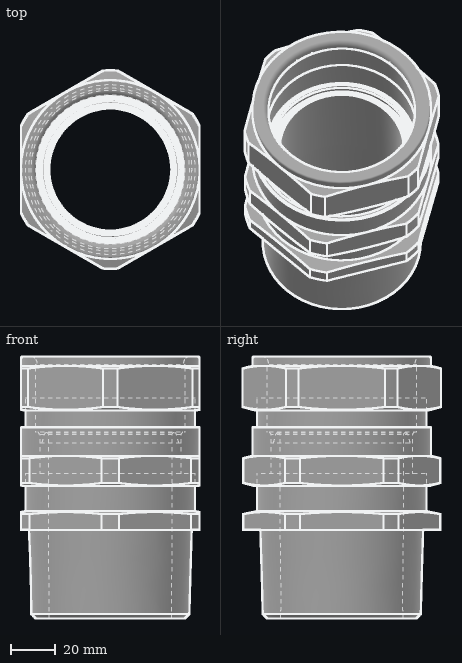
import cadquery as cq
import math


TOTAL_HEIGHT = 117.4
ACROSS_FLATS = 80.0
CAP_CORNER_RADIUS = 44.5
FITTING_CORNER_RADIUS = 44.1
COLLAR_RADIUS = ACROSS_FLATS / 2
NECK_RADIUS = 38.0
CHAMFER_SLOPE = math.tan(math.radians(15))
UNDERSIDE_RADIUS = 38.7

CAP_HEX_BOTTOM = 93.2
CAP_HEX_TOP = 113.1
CAP_RIM_FILLET = 0.9
BORE_RADIUS = 33.5
THROAT_RADIUS = 32.9
THROAT_LENGTH = 0.6
BORE_MOUTH_FILLET = 2.9

ENGAGEMENT = 5.6

MIDDLE_BOTTOM = 59.3
MIDDLE_HEX_TOP = 72.9
BAND_TOP = 85.8
BAND_CHAMFER = 0.4
MIDDLE_TOP = CAP_HEX_BOTTOM + ENGAGEMENT
LEDGE_Z = 83.4
LEDGE_INNER_RADIUS = 32.4
LEDGE_CHAMFER_HEIGHT = 1.0
SLEEVE_RADIUS = 31.6

THREAD_TOP_RADIUS = 36.5
THREAD_BOTTOM_RADIUS = 35.4
THREAD_CHAMFER = 2.1
ENTRY_HEX_BOTTOM = 39.8
ENTRY_HEX_TOP = 48.1
ENTRY_CHAMFER_SLOPE = math.tan(math.radians(12))
NECK_TOP = MIDDLE_BOTTOM + ENGAGEMENT
LIP_BASE_Z = 78.6
SLEEVE_TOP = 83.3
LIP_BASE_RADIUS = 30.6
LIP_TIP_RADIUS = 29.5
LIP_TIP_CHAMFER = 0.6
ENTRY_BORE_TOP_RADIUS = 27.7
ENTRY_BORE_BOTTOM_RADIUS = 27.3
ENTRY_BORE_CHAMFER = 0.6


def revolved(profile):
    """Solid of revolution about Z from (radius, height) points."""
    return cq.Workplane("XZ").polyline(profile).close().revolve(360, (0, 0), (0, 1))


def cylinder(radius, bottom, top):
    return cq.Workplane("XY").workplane(offset=bottom).circle(radius).extrude(top - bottom)


def hexagon(bottom, top, cone_profile):
    """Hexagon with flats at +X and -X, corners turned round and ends coned."""
    across_corners = ACROSS_FLATS / math.cos(math.radians(30))
    prism = (
        cq.Workplane("XY")
        .workplane(offset=bottom)
        .transformed(rotate=(0, 0, 30))
        .polygon(6, across_corners)
        .extrude(top - bottom)
    )
    return prism.intersect(revolved(cone_profile))


def double_coned_hexagon(bottom, top, corner_radius):
    top_drop = (corner_radius - COLLAR_RADIUS) * CHAMFER_SLOPE
    bottom_rise = (corner_radius - UNDERSIDE_RADIUS) * CHAMFER_SLOPE
    cone_profile = [
        (0, bottom),
        (UNDERSIDE_RADIUS, bottom),
        (corner_radius, bottom + bottom_rise),
        (corner_radius, top - top_drop),
        (COLLAR_RADIUS, top),
        (0, top),
    ]
    return hexagon(bottom, top, cone_profile)


def make_cap_nut():
    collar = cylinder(COLLAR_RADIUS, CAP_HEX_TOP, TOTAL_HEIGHT)
    collar = collar.faces(">Z").edges().fillet(CAP_RIM_FILLET)
    nut = double_coned_hexagon(CAP_HEX_BOTTOM, CAP_HEX_TOP, CAP_CORNER_RADIUS).union(collar)
    nut = nut.cut(cylinder(NECK_RADIUS, CAP_HEX_BOTTOM, MIDDLE_TOP))
    return nut.cut(cap_bore())


def cap_bore():
    """Bore with a quarter-round mouth above a short, narrower throat."""
    rounding_bottom = TOTAL_HEIGHT - BORE_MOUTH_FILLET
    mouth_radius = THROAT_RADIUS + BORE_MOUTH_FILLET
    arc_offset = BORE_MOUTH_FILLET * math.sqrt(0.5)
    arc_middle = (mouth_radius - arc_offset, rounding_bottom + arc_offset)
    return (
        cq.Workplane("XZ")
        .moveTo(0, MIDDLE_TOP)
        .lineTo(BORE_RADIUS, MIDDLE_TOP)
        .lineTo(BORE_RADIUS, rounding_bottom - THROAT_LENGTH)
        .lineTo(THROAT_RADIUS, rounding_bottom - THROAT_LENGTH)
        .lineTo(THROAT_RADIUS, rounding_bottom)
        .threePointArc(arc_middle, (mouth_radius, TOTAL_HEIGHT))
        .lineTo(0, TOTAL_HEIGHT)
        .close()
        .revolve(360, (0, 0), (0, 1))
    )


def make_middle_fitting():
    band = cylinder(COLLAR_RADIUS, MIDDLE_HEX_TOP, BAND_TOP)
    band = band.faces(">Z").edges().chamfer(BAND_CHAMFER)
    fitting = (
        double_coned_hexagon(MIDDLE_BOTTOM, MIDDLE_HEX_TOP, FITTING_CORNER_RADIUS)
        .union(band)
        .union(cylinder(NECK_RADIUS, BAND_TOP, MIDDLE_TOP))
    )
    cavity = revolved([
        (0, MIDDLE_BOTTOM),
        (NECK_RADIUS, MIDDLE_BOTTOM),
        (NECK_RADIUS, NECK_TOP),
        (SLEEVE_RADIUS, NECK_TOP),
        (SLEEVE_RADIUS, LEDGE_Z - LEDGE_CHAMFER_HEIGHT),
        (LEDGE_INNER_RADIUS, LEDGE_Z),
        (BORE_RADIUS, LEDGE_Z),
        (BORE_RADIUS, MIDDLE_TOP),
        (0, MIDDLE_TOP),
    ])
    return fitting.cut(cavity)


def make_entry_fitting():
    corner_drop = (FITTING_CORNER_RADIUS - NECK_RADIUS) * ENTRY_CHAMFER_SLOPE
    cone_profile = [
        (0, ENTRY_HEX_BOTTOM),
        (FITTING_CORNER_RADIUS, ENTRY_HEX_BOTTOM),
        (FITTING_CORNER_RADIUS, ENTRY_HEX_TOP - corner_drop),
        (NECK_RADIUS, ENTRY_HEX_TOP),
        (0, ENTRY_HEX_TOP),
    ]
    flange = hexagon(ENTRY_HEX_BOTTOM, ENTRY_HEX_TOP, cone_profile)
    thread = revolved([
        (0, 0),
        (THREAD_BOTTOM_RADIUS - THREAD_CHAMFER, 0),
        (THREAD_BOTTOM_RADIUS, THREAD_CHAMFER),
        (THREAD_TOP_RADIUS, ENTRY_HEX_BOTTOM),
        (0, ENTRY_HEX_BOTTOM),
    ])
    neck_and_sleeve = revolved([
        (0, ENTRY_HEX_TOP),
        (NECK_RADIUS, ENTRY_HEX_TOP),
        (NECK_RADIUS, NECK_TOP),
        (SLEEVE_RADIUS, NECK_TOP),
        (SLEEVE_RADIUS, LIP_BASE_Z),
        (LIP_BASE_RADIUS, LIP_BASE_Z),
        (LIP_TIP_RADIUS, SLEEVE_TOP - LIP_TIP_CHAMFER),
        (LIP_TIP_RADIUS - LIP_TIP_CHAMFER, SLEEVE_TOP),
        (0, SLEEVE_TOP),
    ])
    bore = revolved([
        (0, 0),
        (ENTRY_BORE_BOTTOM_RADIUS, 0),
        (ENTRY_BORE_TOP_RADIUS, ENTRY_HEX_BOTTOM),
        (ENTRY_BORE_TOP_RADIUS, SLEEVE_TOP - ENTRY_BORE_CHAMFER),
        (ENTRY_BORE_TOP_RADIUS + ENTRY_BORE_CHAMFER, SLEEVE_TOP),
        (0, SLEEVE_TOP),
    ])
    return flange.union(thread).union(neck_and_sleeve).cut(bore)


cap_nut = make_cap_nut()
middle_fitting = make_middle_fitting()
entry_fitting = make_entry_fitting()

result = cq.Compound.makeCompound([
    cap_nut.val(),
    middle_fitting.val(),
    entry_fitting.val(),
])